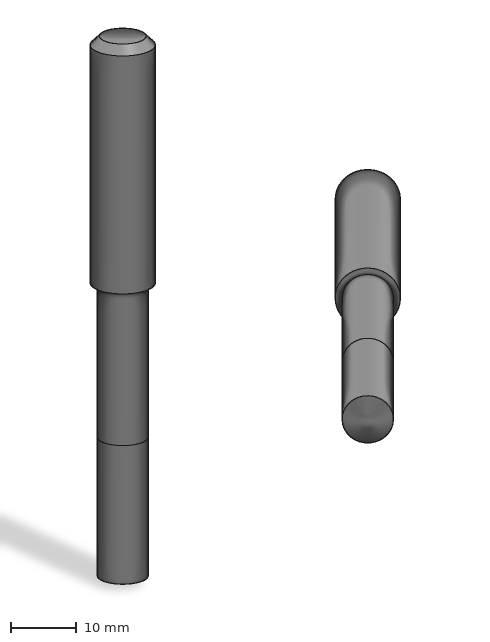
import cadquery as cq
import math

total_length = 89.0
shank_diameter = 10.0
drill_diameter = 7.8

shank_length = 40.05
neck_length = 25.0
shank_chamfer = 1.4
point_angle = 140.0

top_z = total_length / 2
tip_z = -total_length / 2
shoulder_z = top_z - shank_length
cutting_top_z = shoulder_z - neck_length
point_height = drill_diameter / 2 / math.tan(math.radians(point_angle / 2))
point_base_z = tip_z + point_height


def cylinder(diameter, bottom_z, upper_z):
    """Solid cylinder on the Z axis between two heights."""
    return (
        cq.Workplane("XY")
        .workplane(offset=bottom_z)
        .circle(diameter / 2)
        .extrude(upper_z - bottom_z)
    )


def make_holder():
    """Shank with a chamfered top end, and the narrower neck below it."""
    shank = cylinder(shank_diameter, shoulder_z, top_z).faces(">Z").chamfer(shank_chamfer)
    neck = cylinder(drill_diameter, cutting_top_z, shoulder_z)
    return shank.union(neck)


def make_cutting_end():
    """Cutting length of the drill, ending in a conical point."""
    radius = drill_diameter / 2
    return (
        cq.Workplane("XZ")
        .moveTo(0, tip_z)
        .lineTo(radius, point_base_z)
        .lineTo(radius, cutting_top_z)
        .lineTo(0, cutting_top_z)
        .close()
        .revolve(360, (0, 0, 0), (0, 1, 0))
    )


holder = make_holder()
cutting_end = make_cutting_end()

result = cq.Compound.makeCompound([holder.val(), cutting_end.val()])